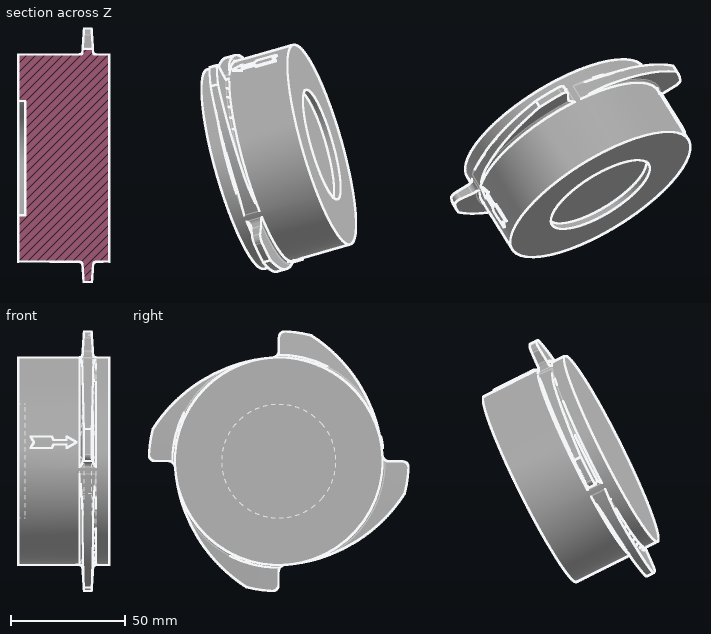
import cadquery as cq
import math

body_length = 40.0
body_radius = 45.5
recess_diameter = 50.0
recess_depth = 3.1

fin_count = 4
fin_centre_x = 30.5
fin_reach = 56.9
fin_tip_half_width = 1.7
fin_root_half_width = 2.4
root_fillet = 1.1
corner_radius = 2.8
corner_centre_z = fin_reach - corner_radius
fin_tip_radius = math.hypot(corner_radius, corner_centre_z) + corner_radius
end_fillet = 2.8
tip_arc_end_y = 14.1
back_middle = (30.5, 40.5)
back_end_z = 5.7
core_radius = 41.0

arrow_height = 0.6
arrow_centre_z = 8.3
arrow_half_width = 2.6
arrow_shaft_half_width = 1.0
arrow_tail_x = 5.3
arrow_notch_x = 6.9
arrow_tail_end_x = 14.7
arrow_shaft_x = 15.5
arrow_head_x = 21.2
arrow_tip_x = 25.6


def height_on_circle(radius, offset):
    return math.sqrt(radius**2 - offset**2)


def make_body():
    body = cq.Workplane("YZ").circle(body_radius).extrude(body_length)
    recess = cq.Workplane("YZ").circle(recess_diameter / 2).extrude(recess_depth)
    return body.cut(recess)


def make_fin_ring():
    """Full tapered disc whose flanks flare out in fillets at the body surface."""
    foot_half_width = fin_root_half_width + root_fillet
    fillet_top = body_radius + root_fillet
    left = fin_centre_x - fin_root_half_width
    right = fin_centre_x + fin_root_half_width
    return (
        cq.Workplane("XZ")
        .moveTo(fin_centre_x - foot_half_width, core_radius)
        .lineTo(fin_centre_x - foot_half_width, body_radius)
        .radiusArc((left, fillet_top), -root_fillet)
        .lineTo(fin_centre_x - fin_tip_half_width, fin_tip_radius)
        .lineTo(fin_centre_x + fin_tip_half_width, fin_tip_radius)
        .lineTo(right, fillet_top)
        .radiusArc((fin_centre_x + foot_half_width, body_radius), -root_fillet)
        .lineTo(fin_centre_x + foot_half_width, core_radius)
        .close()
        .revolve(360, (0, 0, 0), (1, 0, 0))
    )


def make_fin_outline():
    """Side shape of the upper fin: flat front at Y = 0 and a curved back towards +Y."""
    front_foot_z = height_on_circle(body_radius, end_fillet)
    tip_scale = fin_tip_radius / (fin_tip_radius - corner_radius)
    tip_start = (corner_radius * tip_scale, corner_centre_z * tip_scale)
    tip_end = (tip_arc_end_y, height_on_circle(fin_tip_radius, tip_arc_end_y))
    back_end = (height_on_circle(body_radius, back_end_z), back_end_z)
    return (
        cq.Workplane("YZ")
        .moveTo(0, 0)
        .lineTo(-end_fillet, front_foot_z)
        .radiusArc((0, front_foot_z + end_fillet), -end_fillet)
        .lineTo(0, corner_centre_z)
        .radiusArc(tip_start, corner_radius)
        .radiusArc(tip_end, fin_tip_radius)
        .threePointArc(back_middle, back_end)
        .close()
        .extrude(body_length)
    )


def make_arrows():
    """Arrow outline carried through both sides, kept only in a thin skin over the body."""
    upper_edge = [
        (arrow_tail_x, arrow_half_width),
        (arrow_tail_end_x, arrow_half_width),
        (arrow_shaft_x, arrow_shaft_half_width),
        (arrow_head_x, arrow_shaft_half_width),
        (arrow_head_x, arrow_half_width),
    ]
    lower_edge = [(x, -z) for x, z in reversed(upper_edge)]
    outline = [(arrow_notch_x, 0)] + upper_edge + [(arrow_tip_x, 0)] + lower_edge
    prism = (
        cq.Workplane("XZ", origin=(0, 0, arrow_centre_z))
        .polyline(outline)
        .close()
        .extrude(body_radius + 2 * arrow_height, both=True)
    )
    skin = (
        cq.Workplane("YZ")
        .circle(body_radius + arrow_height)
        .circle(core_radius)
        .extrude(body_length)
    )
    return prism.intersect(skin)


result = make_body().union(make_arrows())
fin = make_fin_ring().intersect(make_fin_outline())
for index in range(fin_count):
    angle = index * 360 / fin_count
    result = result.union(fin.rotate((0, 0, 0), (1, 0, 0), angle))